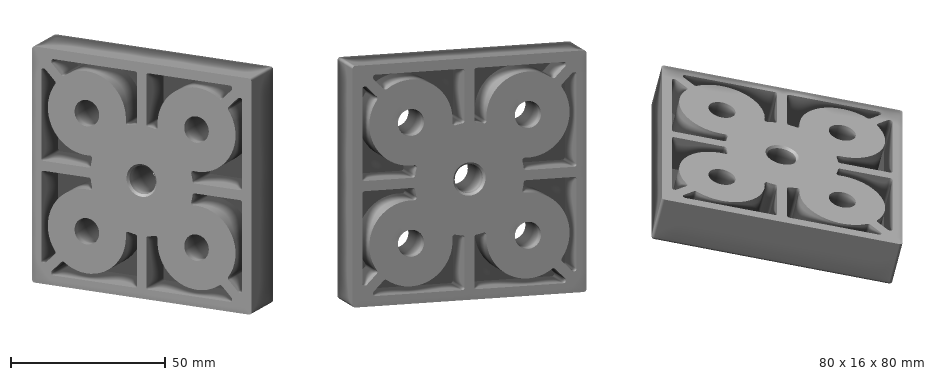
import cadquery as cq
import math

side = 80.0
thickness = 16.0
edge_radius = 1.0

wall = 3.4
pocket_depth = 12.0
pocket_corner_radius = 0.8
pocket_tip = 33.0

boss_offset = side / 4
boss_radius = 14.2
hub_radius = 18.7

boss_hole_diameter = 9.0
center_hole_diameter = 9.6
center_mouth_diameter = 11.0
center_chamfer = (center_mouth_diameter - center_hole_diameter) / 2


def cylinder(radius, length, x=0.0, z=0.0):
    """Cylinder from the -Y face, running toward +Y."""
    return cq.Workplane("XZ").center(x, z).circle(radius).extrude(-length)


def make_block():
    """Square plate, rounded on its four edges along Y and around the +Y face."""
    plate = cq.Workplane("XZ").rect(side, side).extrude(-thickness)
    return plate.edges("|Y or >Y").fillet(edge_radius)


def make_pocket():
    """Pocket above the boss of the +X +Z quadrant, between cross rib and diagonal rib."""
    rib_face = wall / 2
    wall_face = side / 2 - wall
    diagonal_shift = wall / math.sqrt(2)
    pocket = (
        cq.Workplane("XZ")
        .moveTo(rib_face, rib_face + diagonal_shift)
        .lineTo(pocket_tip, pocket_tip + diagonal_shift)
        .lineTo(pocket_tip, wall_face)
        .lineTo(rib_face, wall_face)
        .close()
        .extrude(-pocket_depth)
        .cut(cylinder(boss_radius, pocket_depth, boss_offset, boss_offset))
        .cut(cylinder(hub_radius, pocket_depth))
    )
    return pocket.edges("|Y").fillet(pocket_corner_radius)


def cut_pockets(body):
    """Cut a mirrored pair of pockets into each of the four sides."""
    pocket = make_pocket()
    for half in (pocket, pocket.mirror("YZ")):
        for angle in (0, 90, 180, 270):
            body = body.cut(half.rotate((0, 0, 0), (0, 1, 0), angle))
    return body


def cut_holes(body):
    """Through hole in each boss, and a chamfered through hole in the center."""
    for x in (-boss_offset, boss_offset):
        for z in (-boss_offset, boss_offset):
            body = body.cut(cylinder(boss_hole_diameter / 2, thickness, x, z))
    body = body.cut(cylinder(center_hole_diameter / 2, thickness))
    countersink = cq.Workplane(
        cq.Solid.makeCone(
            center_mouth_diameter / 2,
            center_hole_diameter / 2,
            center_chamfer,
            dir=cq.Vector(0, 1, 0),
        )
    )
    return body.cut(countersink)


result = cut_holes(cut_pockets(make_block()))